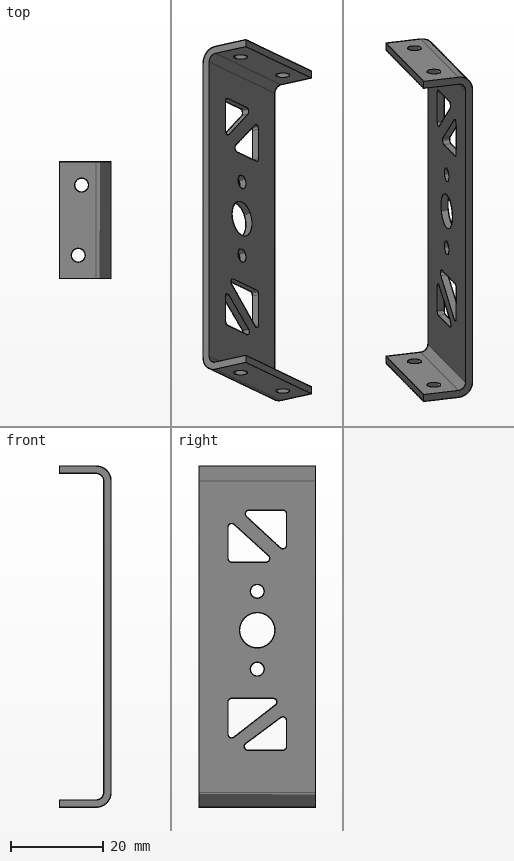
import cadquery as cq

sheet_thickness = 1.63
inner_bend_radius = 1.63
outer_bend_radius = inner_bend_radius + sheet_thickness
flange_length = 11.24
width = 25.4
height = 74.15

small_hole_diameter = 2.95
flange_hole_half_spacing = 7.62
back_hole_from_edge = 4.83
front_hole_from_edge = 4.1

pattern_center_z = 1.4
center_hole_diameter = 7.62
web_hole_offset = 8.45
window_half_width = 6.35
window_near_offset = 14.8
window_far_offset = 26.05
window_corner_radius = 0.8

upper_back_legs = (10.15, 9.37)
upper_front_legs = (10.3, 9.37)
lower_back_legs = (10.77, 8.0)
lower_front_legs = (12.1, 9.4)

web_outer_x = flange_length


def bent_channel():
    """C-shaped sheet: a vertical web with a flange at each end pointing to -X."""
    outer = cq.Workplane("XY").box(flange_length, width, height, centered=(False, True, True))
    outer = outer.edges("|Y and >X").fillet(outer_bend_radius)
    inner = cq.Workplane("XY").box(
        flange_length - sheet_thickness,
        width,
        height - 2 * sheet_thickness,
        centered=(False, True, True),
    )
    inner = inner.edges("|Y and >X").fillet(inner_bend_radius)
    return outer.cut(inner)


def flange_holes():
    """Two vertical cylinders that drill both flanges."""
    centers = [
        (back_hole_from_edge, flange_hole_half_spacing),
        (front_hole_from_edge, -flange_hole_half_spacing),
    ]
    plane = cq.Workplane("XY").workplane(offset=-height / 2)
    return plane.pushPoints(centers).circle(small_hole_diameter / 2).extrude(height)


def web_holes():
    """Large centre hole with a small hole above and below it."""
    plane = cq.Workplane("YZ", origin=(0, 0, pattern_center_z))
    large = plane.circle(center_hole_diameter / 2).extrude(web_outer_x)
    small_centers = [(0, web_hole_offset), (0, -web_hole_offset)]
    small = plane.pushPoints(small_centers).circle(small_hole_diameter / 2).extrude(web_outer_x)
    return large.union(small)


def triangle_window(y_side, z_offset, z_direction, legs):
    """Rounded right triangle with its square corner at a corner of the window.

    y_side is +1 or -1 for the window edge, z_offset the corner height from the
    pattern centre and z_direction the sense in which the vertical leg runs.
    """
    leg_y, leg_z = legs
    corner_y = y_side * window_half_width
    points = [
        (corner_y, z_offset),
        (corner_y - y_side * leg_y, z_offset),
        (corner_y, z_offset + z_direction * leg_z),
    ]
    plane = cq.Workplane("YZ", origin=(0, 0, pattern_center_z))
    prism = plane.polyline(points).close().extrude(web_outer_x)
    return prism.edges("|X").fillet(window_corner_radius)


windows = [
    triangle_window(1, window_far_offset, -1, upper_back_legs),
    triangle_window(-1, window_near_offset, 1, upper_front_legs),
    triangle_window(1, -window_far_offset, 1, lower_back_legs),
    triangle_window(-1, -window_near_offset, -1, lower_front_legs),
]

result = bent_channel().cut(flange_holes()).cut(web_holes())
for window in windows:
    result = result.cut(window)